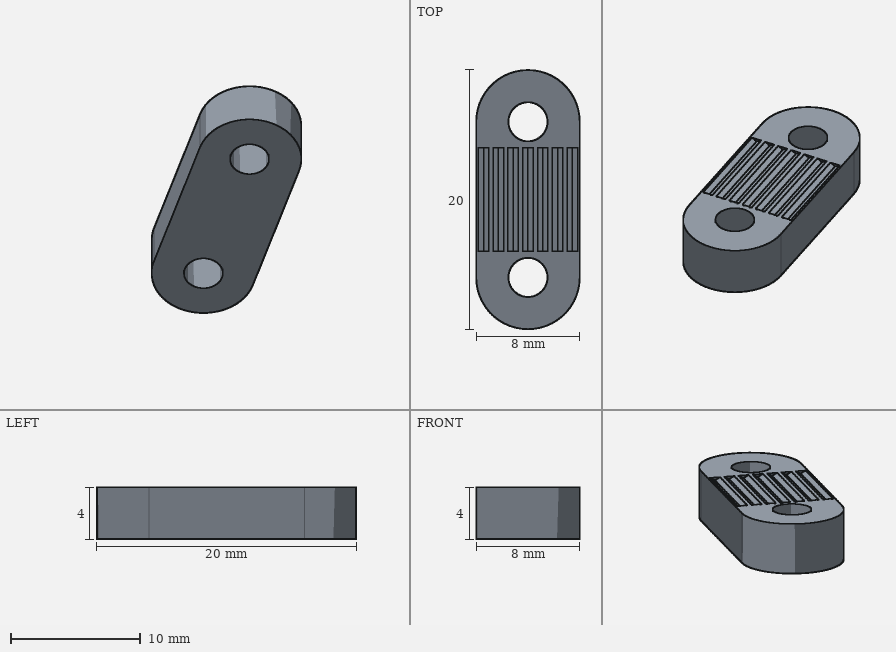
import cadquery as cq
import math

length = 20.0
width = 8.0
thickness = 4.0

hole_diameter = 3.0
hole_spacing = length - width

groove_count = 7
groove_pitch = width / groove_count
groove_width = 0.8
groove_angle = 120.0
groove_depth = groove_width / 2 / math.tan(math.radians(groove_angle / 2))
groove_length = 8.0


def make_plate():
    """Plate with full-radius ends, its base on Z = 0."""
    return cq.Workplane("XY").slot2D(length, width, 90).extrude(thickness)


def make_holes():
    """Pair of cylinders, one on the center of each rounded end."""
    return (
        cq.Workplane("XY")
        .rarray(0.2, hole_spacing, 1, 2)
        .circle(hole_diameter / 2)
        .extrude(thickness)
    )


def make_groove(center_x):
    """Triangular prism, point down, flush with the top face."""
    half_width = groove_width / 2
    profile = [
        (center_x - half_width, thickness),
        (center_x + half_width, thickness),
        (center_x, thickness - groove_depth),
    ]
    return cq.Workplane("XZ").polyline(profile).close().extrude(groove_length / 2, both=True)


result = make_plate().cut(make_holes())
for index in range(groove_count):
    groove_x = (index - (groove_count - 1) / 2) * groove_pitch
    result = result.cut(make_groove(groove_x))